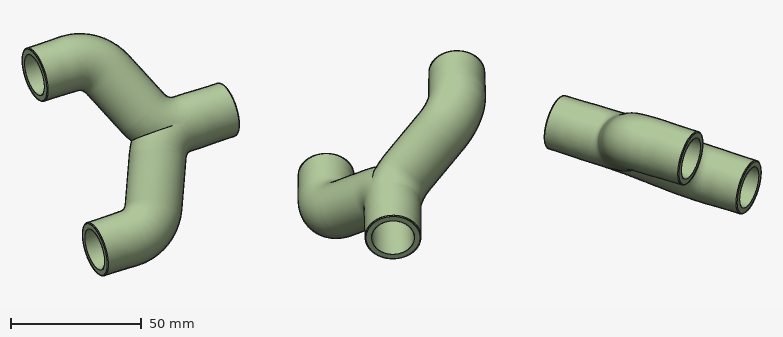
import cadquery as cq
import math

overall_width = 71.8
overall_length = 70.0
tube_radius = 10.9
spigot_end_radius = 10.7
bore_radius = 8.2
leg_spigot_length = 15.0
outlet_spigot_length = 14.5
neck_length = 5.0
end_chamfer = 0.35
bend_angle = math.radians(65)

leg_shift = overall_width / 2 - tube_radius
lateral = leg_shift * math.sqrt(2)

outlet_y = overall_length / 2
neck_y = outlet_y - outlet_spigot_length
fork_y = neck_y - neck_length
leg_end_y = -overall_length / 2
leg_y = leg_end_y + leg_spigot_length

drop = fork_y - leg_y
bend_cos = math.cos(bend_angle)
bend_sin = math.sin(bend_angle)
bend_radius = (drop * bend_sin - lateral * bend_cos) / (2 * (1 - bend_cos))


def s_bend(side, radius):
    """Sweep a round section from the fork to one leg; side is -1 or +1."""
    def point(across, y):
        return (side * across, y)

    def arc_offsets(angle):
        return bend_radius * (1 - math.cos(angle)), bend_radius * math.sin(angle)

    half_across, half_down = arc_offsets(bend_angle / 2)
    full_across, full_down = arc_offsets(bend_angle)
    leg_plane = cq.Plane(origin=(0, 0, 0), xDir=(1, 0, -1), normal=(1, 0, 1))
    path = (
        cq.Workplane(leg_plane)
        .moveTo(*point(0, fork_y))
        .threePointArc(point(half_across, fork_y - half_down), point(full_across, fork_y - full_down))
        .lineTo(*point(lateral - full_across, leg_y + full_down))
        .threePointArc(point(lateral - half_across, leg_y + half_down), point(lateral, leg_y))
    )
    section = cq.Workplane("XZ", origin=(0, fork_y, 0)).circle(radius)
    return section.sweep(path)


def cylinder(x, z, start_y, end_y, radius):
    """Cylinder along Y between two stations."""
    return cq.Workplane("XZ", origin=(x, start_y, z)).circle(radius).extrude(start_y - end_y)


def spigot(x, z, root_y, tip_y, direction):
    """Tapered tube end with a chamfered rim; direction is the sign of Y it points to."""
    chamfer_y = tip_y - direction * end_chamfer
    return (
        cq.Workplane("XY", origin=(x, 0, z))
        .moveTo(0, root_y)
        .lineTo(tube_radius, root_y)
        .lineTo(spigot_end_radius, chamfer_y)
        .lineTo(spigot_end_radius - end_chamfer, tip_y)
        .lineTo(0, tip_y)
        .close()
        .revolve(360, (0, 0, 0), (0, 1, 0))
    )


body = spigot(0, 0, neck_y, outlet_y, 1).union(cylinder(0, 0, neck_y, fork_y, tube_radius))
for side in (-1, 1):
    body = body.union(s_bend(side, tube_radius))
    body = body.union(spigot(side * leg_shift, -side * leg_shift, leg_y, leg_end_y, -1))

body = body.cut(cylinder(0, 0, outlet_y, fork_y, bore_radius))
for side in (-1, 1):
    body = body.cut(s_bend(side, bore_radius))
    body = body.cut(
        cylinder(side * leg_shift, -side * leg_shift, leg_y, leg_end_y, bore_radius)
    )

result = body